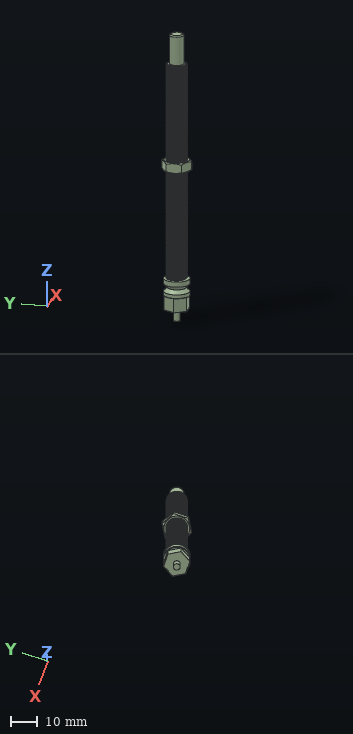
import cadquery as cq
import math

total_length = 111.5
pin_diameter = 2.5
pin_length = 4.5
hex_end_height = 5.5
collar_diameter = 10.0
lower_collar_height = 1.5
upper_collar_height = 2.0
neck_depth = 1.5
stub_diameter = 5.5
stub_length = 11.5
stub_chamfer = 0.5

hex_end_top = pin_length + hex_end_height
neck_groove_bottom = hex_end_top + lower_collar_height
neck_level = neck_groove_bottom + neck_depth
neck_groove_top = neck_level + neck_depth
thread_bottom = neck_groove_top + upper_collar_height
thread_top = total_length - stub_length
thread_length = thread_top - thread_bottom

pitch = 1.0
flank_slope = math.tan(math.radians(30))
rod_minor_diameter = 6.74
rod_pitch_diameter = 7.27
rod_major_diameter = 7.88
bore_minor_diameter = 7.04
bore_pitch_diameter = 7.43
bore_major_diameter = 8.15
flank_points = 9
thread_segments = 28
thread_start_angle = 45.0

nut_height = 4.0
nut_bottom = 58.6
nut_across_flats = 10.0
nut_chamfer_diameter = 9.6
nut_chamfer_slope = math.tan(math.radians(30))
nut_across_corners = nut_across_flats / math.cos(math.radians(30))


def cylinder(diameter, bottom, height):
    return cq.Workplane("XY").workplane(offset=bottom).circle(diameter / 2).extrude(height)


def twist_at(height):
    """Angle of the middle of the rod's thread crest at a height, in degrees."""
    return thread_start_angle + 360 * (height - thread_bottom) / pitch


def thread(minor_diameter, pitch_diameter, major_diameter, bottom, length):
    """Right-hand threaded rod with flat ends: its cross-section is twisted one turn per pitch."""
    root = minor_diameter / 2
    crest = major_diameter / 2

    def flank_angle(radius):
        half_width = pitch / 4 - (radius - pitch_diameter / 2) * flank_slope
        return 2 * math.pi * half_width / pitch

    def flank_point(radius, side):
        angle = side * flank_angle(radius)
        return (radius * math.cos(angle), radius * math.sin(angle))

    step = (crest - root) / (flank_points - 1)
    radii = [root + step * i for i in range(flank_points)]
    rising_flank = [flank_point(radius, -1) for radius in radii]
    falling_flank = [flank_point(radius, 1) for radius in reversed(radii)]
    return (
        cq.Workplane("XY")
        .moveTo(*rising_flank[0])
        .spline(rising_flank[1:], includeCurrent=True)
        .threePointArc((crest, 0), falling_flank[0])
        .spline(falling_flank[1:], includeCurrent=True)
        .threePointArc((-root, 0), rising_flank[0])
        .close()
        .twistExtrude(length, 360 * length / pitch)
        .rotate((0, 0, 0), (0, 0, 1), twist_at(bottom))
        .translate((0, 0, bottom))
    )


def threaded_length():
    """Long thread: equal segments end to end, sewn along their helical faces into one solid."""
    segment_length = thread_length / thread_segments
    segments = [
        thread(
            rod_minor_diameter,
            rod_pitch_diameter,
            rod_major_diameter,
            thread_bottom + segment_length * i,
            segment_length,
        )
        for i in range(thread_segments)
    ]
    skin = [segments[0].faces("<Z").val(), segments[-1].faces(">Z").val()]
    for segment in segments:
        skin += segment.faces("not |Z").vals()
    return cq.Workplane(obj=cq.Solid.makeSolid(cq.Shell.makeShell(skin)))


def grooved_collar():
    """Round collar with a 45 degree V groove around its middle."""
    rim = collar_diameter / 2
    return (
        cq.Workplane("XZ")
        .moveTo(0, hex_end_top)
        .lineTo(rim, hex_end_top)
        .lineTo(rim, neck_groove_bottom)
        .lineTo(rim - neck_depth, neck_level)
        .lineTo(rim, neck_groove_top)
        .lineTo(rim, thread_bottom)
        .lineTo(0, thread_bottom)
        .close()
        .revolve(360, (0, 0, 0), (0, 1, 0))
    )


def make_spindle():
    pin = cylinder(pin_diameter, 0, pin_length)
    hex_plane = cq.Workplane("XY").workplane(offset=pin_length)
    hex_end = hex_plane.polygon(6, collar_diameter).extrude(hex_end_height)
    stub = cylinder(stub_diameter, thread_top, stub_length).faces(">Z").chamfer(stub_chamfer)
    return grooved_collar().union(hex_end).union(pin).union(threaded_length()).union(stub)


def nut_chamfer_envelope():
    """Disc with conical ends that rounds off the corners of the nut."""
    reach = nut_across_corners / 2
    face_radius = nut_chamfer_diameter / 2
    drop = (reach - face_radius) * nut_chamfer_slope
    nut_top = nut_bottom + nut_height
    return (
        cq.Workplane("XZ")
        .moveTo(0, nut_bottom)
        .lineTo(face_radius, nut_bottom)
        .lineTo(reach, nut_bottom + drop)
        .lineTo(reach, nut_top - drop)
        .lineTo(face_radius, nut_top)
        .lineTo(0, nut_top)
        .close()
        .revolve(360, (0, 0, 0), (0, 1, 0))
    )


def make_nut():
    """Hexagon nut with flats facing +X and -X and a tapped bore around the rod's thread."""
    blank = (
        cq.Workplane("XY")
        .workplane(offset=nut_bottom)
        .polygon(6, nut_across_corners)
        .extrude(nut_height)
        .rotate((0, 0, 0), (0, 0, 1), 30)
        .intersect(nut_chamfer_envelope())
    )
    bore = thread(bore_minor_diameter, bore_pitch_diameter, bore_major_diameter, nut_bottom, nut_height)
    return blank.cut(bore)


spindle = make_spindle()
nut = make_nut()

result = cq.Compound.makeCompound([spindle.solids().val(), nut.solids().val()])